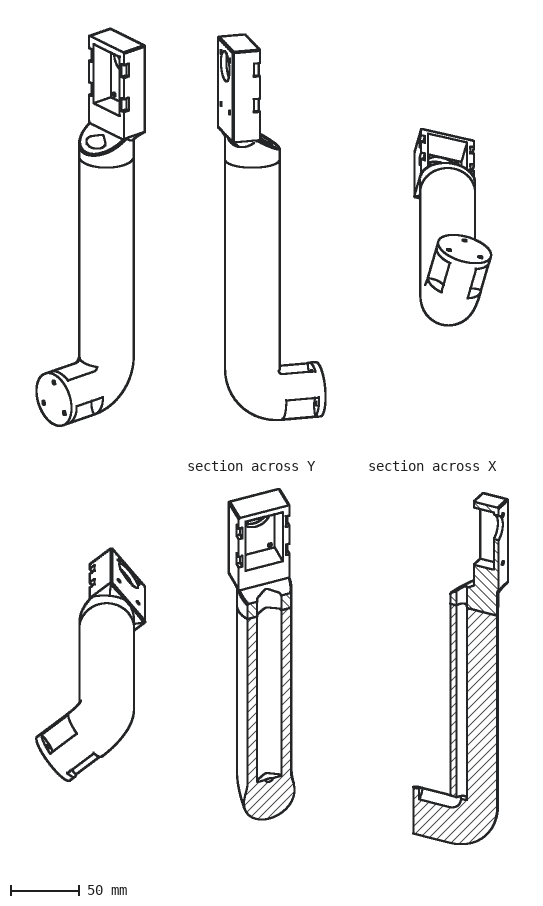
import cadquery as cq
import math

tube_radius = 20.0
tube_length = 160.0
stub_length = 30.0
flange_thickness = 5.0
bend_radius = tube_radius
bend_angle = 90

groove_count = 3
first_groove_angle = 90
groove_radius = 10.5
screw_hole_diameter = 3.0
screw_circle_radius = 13.5

channel_half_angle = 60.0
channel_wall = 5.2
channel_web = 2.5
channel_corner_radius = 3.0

head_height = 90.0
box_height = 70.0
box_width = 2 * tube_radius
box_overhang = 0.5
edge_chamfer = 1.0
shoulder_angle = 30.0
support_height = 7.0
support_inset = 1.5

pocket_width = 29.3
pocket_height = 47.3
pocket_top_wall = 5.2
pocket_depth = 16.5
pocket_screw_spacing_x = 22.0
pocket_screw_spacing_z = 39.7
pocket_screw_top_inset = 9.3
opening_diameter = 22.0
opening_top_inset = 16.8

notch_width = 3.0
notch_height = 10.2
notch_depth = 4.5
notch_top_insets = (10.2, 37.5)

tube_base = bend_radius
head_base = tube_base + tube_length
head_top = head_base + head_height
box_bottom = head_top - box_height
box_back = tube_radius + box_overhang
stub_start = -bend_radius
flange_back = stub_start - stub_length + flange_thickness


def cylinder_along_y(radius, x, z, y_from, y_to):
    """Cylinder parallel to Y, running in the -Y direction from y_from to y_to."""
    return (
        cq.Workplane("XZ", origin=(x, y_from, z))
        .circle(radius)
        .extrude(y_from - y_to)
    )


def block(x_min, x_max, y_min, y_max, z_min, z_max):
    """Box given by its limits."""
    return cq.Workplane("XY").box(
        x_max - x_min, y_max - y_min, z_max - z_min, centered=False
    ).translate((x_min, y_min, z_min))


def around_stub(radius, angle):
    """X and Z of a point on a circle around the stub axis."""
    return radius * math.cos(math.radians(angle)), radius * math.sin(math.radians(angle))


def cable_channel(z_from, z_to):
    """Vertical channel: sector pointing to -Y, between radial webs and a round outer wall."""
    arc_radius = tube_radius - channel_wall
    apex_y = -channel_web / math.sin(math.radians(channel_half_angle))
    side_angle = math.radians(90 - channel_half_angle) + math.asin(channel_web / arc_radius)
    side_x = arc_radius * math.cos(side_angle)
    side_y = -arc_radius * math.sin(side_angle)
    return (
        cq.Workplane("XY", origin=(0, 0, z_from))
        .moveTo(0, apex_y)
        .lineTo(side_x, side_y)
        .threePointArc((0, -arc_radius), (-side_x, side_y))
        .close()
        .extrude(z_to - z_from)
        .edges("|Z")
        .fillet(channel_corner_radius)
    )


def make_handle():
    tube = cq.Workplane("XY", origin=(0, 0, tube_base)).circle(tube_radius).extrude(tube_length)
    stub = cylinder_along_y(tube_radius, 0, 0, stub_start, stub_start - stub_length)

    elbow = (
        cq.Workplane("XY", origin=(0, stub_start, tube_base))
        .moveTo(0, bend_radius)
        .circle(tube_radius)
        .revolve(bend_angle, (0, 0, 0), (-1, 0, 0))
    )
    hollow = cq.Workplane("XY", origin=(0, stub_start, tube_base)).sphere(groove_radius)
    elbow = elbow.cut(hollow, clean=False)

    for i in range(groove_count):
        angle = first_groove_angle + i * 360 / groove_count
        groove_x, groove_z = around_stub(tube_radius, angle)
        stub = stub.cut(cylinder_along_y(groove_radius, groove_x, groove_z, stub_start, flange_back))
        hole_x, hole_z = around_stub(screw_circle_radius, angle)
        stub = stub.cut(
            cylinder_along_y(
                screw_hole_diameter / 2, hole_x, hole_z, flange_back, stub_start - stub_length
            )
        )

    tube = tube.cut(cable_channel(tube_base, head_base))
    return tube.union(elbow, clean=False).union(stub, clean=False)


def make_box():
    """Box with chamfered back and side edges, its front face on the tube axis."""
    body = block(-box_width / 2, box_width / 2, 0, box_back, box_bottom, head_top)
    return body.edges(">Y or |Y").chamfer(edge_chamfer)


def make_corner_supports():
    """Funnel from a square to a circle that carries the back corners of the box down to the stump."""
    funnel = (
        cq.Workplane("XY", origin=(0, 0, box_bottom + edge_chamfer - support_height))
        .circle(tube_radius - support_inset)
        .workplane(offset=support_height)
        .rect(box_width, box_width)
        .loft(ruled=True)
    )
    back_half = block(-box_width, box_width, 0, box_width, head_base, head_top)
    return funnel.intersect(back_half)


def make_stump():
    """Round stump whose front half slopes down from the foot of the box."""
    shoulder_drop = tube_radius * math.tan(math.radians(shoulder_angle))
    stump = (
        cq.Workplane("XY", origin=(0, 0, head_base))
        .circle(tube_radius)
        .extrude(box_bottom - head_base)
    )
    above_shoulder = (
        cq.Workplane("YZ", origin=(-tube_radius, 0, 0))
        .polyline([
            (0, box_bottom),
            (-tube_radius, box_bottom - shoulder_drop),
            (-tube_radius, box_bottom),
        ])
        .close()
        .extrude(2 * tube_radius)
    )
    stump = stump.cut(above_shoulder)
    return stump.edges("%ELLIPSE").chamfer(edge_chamfer)


def make_head():
    head = make_stump().union(make_corner_supports()).union(make_box())

    pocket_top = head_top - pocket_top_wall
    head = head.cut(
        block(-pocket_width / 2, pocket_width / 2, 0, pocket_depth,
              pocket_top - pocket_height, pocket_top)
    )
    head = head.cut(
        cylinder_along_y(opening_diameter / 2, 0, head_top - opening_top_inset, box_back, 0)
    )
    for side in (-1, 1):
        hole_x = side * pocket_screw_spacing_x / 2
        for drop in (0, pocket_screw_spacing_z):
            hole_z = head_top - pocket_screw_top_inset - drop
            head = head.cut(cylinder_along_y(screw_hole_diameter / 2, hole_x, hole_z, box_back, 0))

        outer_x = side * box_width / 2
        inner_x = outer_x - side * notch_width
        for inset in notch_top_insets:
            notch_top = head_top - inset
            head = head.cut(
                block(min(outer_x, inner_x), max(outer_x, inner_x), 0, notch_depth,
                      notch_top - notch_height, notch_top)
            )

    return head.cut(cable_channel(head_base, box_bottom))


handle = make_handle()
head = make_head()

result = cq.Compound.makeCompound([handle.solids().val(), head.solids().val()])